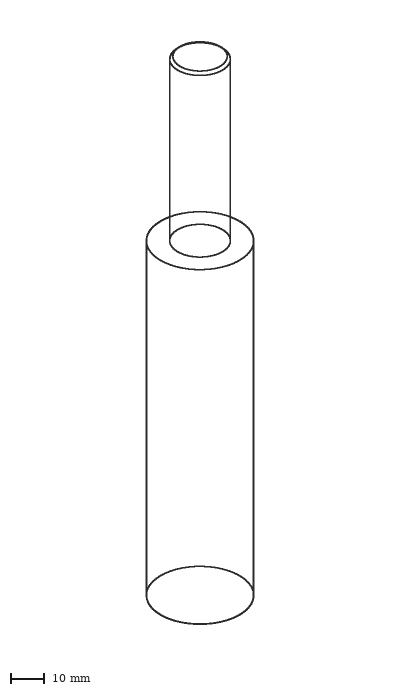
import cadquery as cq

total_height = 190.0
body_height = 125.0
body_diameter = 32.0
stem_diameter = 18.0
stem_chamfer = 1.0

body = cq.Workplane("XY").circle(body_diameter / 2).extrude(body_height)

stem_height = total_height - body_height
stem = (
    cq.Workplane("XY", origin=(0, 0, body_height))
    .circle(stem_diameter / 2)
    .extrude(stem_height)
    .faces(">Z")
    .edges()
    .chamfer(stem_chamfer)
)

result = body.union(stem)